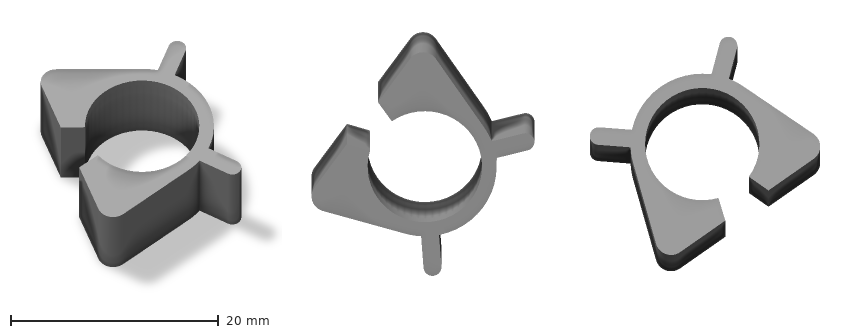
import cadquery as cq
import math

width = 18.79
thickness = 8.0
bore_radius = 5.5
ring_radius = 6.91
base_drop = 7.4
corner_radius = 1.5
mouth_half_angle = 19.0
arm_angle = 40.0
arm_reach = 10.0
arm_width = 1.73


def polar(radius, degrees, center=(0, 0)):
    """Point at a radius and an angle from a centre."""
    angle = math.radians(degrees)
    return (center[0] + radius * math.cos(angle), center[1] + radius * math.sin(angle))


def mirrored(point):
    return (-point[0], point[1])


def make_body():
    """Ring and its flared feet, with flanks tangent to ring and foot corners."""
    corner = (width / 2 - corner_radius, corner_radius - base_drop)
    center_distance = math.hypot(*corner)
    center_angle = math.degrees(math.atan2(corner[1], corner[0]))
    flank_offset = math.degrees(math.acos((ring_radius - corner_radius) / center_distance))
    flank_normal = center_angle + flank_offset

    ring_tangent = polar(ring_radius, flank_normal)
    corner_tangent = polar(corner_radius, flank_normal, corner)
    corner_middle = polar(corner_radius, (flank_normal - 90) / 2, corner)
    base_end = (corner[0], -base_drop)
    return (
        cq.Workplane("XY")
        .moveTo(*base_end)
        .threePointArc(corner_middle, corner_tangent)
        .lineTo(*ring_tangent)
        .threePointArc((0, ring_radius), mirrored(ring_tangent))
        .lineTo(*mirrored(corner_tangent))
        .threePointArc(mirrored(corner_middle), mirrored(base_end))
        .close()
        .extrude(thickness)
    )


def make_arm(degrees):
    """Radial arm with a rounded tip, starting at the bore axis."""
    half_width = arm_width / 2
    return (
        cq.Workplane("XY")
        .moveTo(0, -half_width)
        .lineTo(arm_reach, -half_width)
        .threePointArc((arm_reach + half_width, 0), (arm_reach, half_width))
        .lineTo(0, half_width)
        .close()
        .extrude(thickness)
        .rotate((0, 0, 0), (0, 0, 1), degrees)
    )


def make_mouth():
    """Wedge opening from the bore axis through the base."""
    half_opening = base_drop * math.tan(math.radians(mouth_half_angle))
    return (
        cq.Workplane("XY")
        .polyline([(0, 0), (half_opening, -base_drop), (-half_opening, -base_drop)])
        .close()
        .extrude(thickness)
    )


clip = make_body()
for direction in (arm_angle, 180 - arm_angle):
    clip = clip.union(make_arm(direction))

bore = cq.Workplane("XY").circle(bore_radius).extrude(thickness)
result = clip.cut(bore).cut(make_mouth())